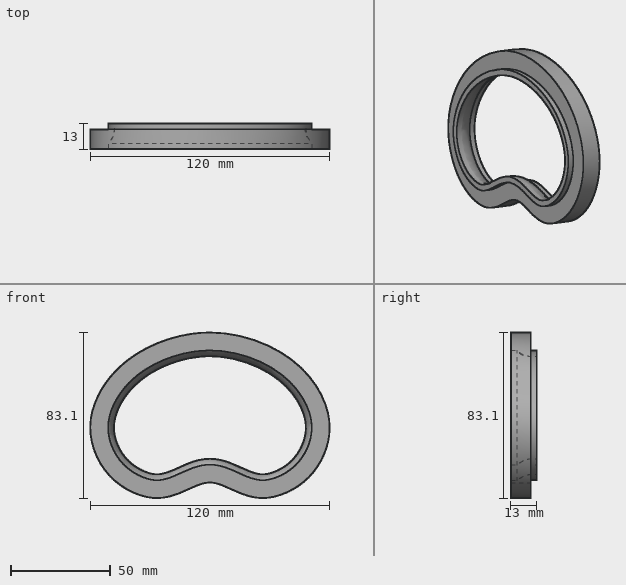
import cadquery as cq

half_width = 60.0
top_height = 47.3
lobe_depth = 35.8
lobe_offset = 26.4
dent_depth = 28.0

flange_thickness = 10.0
lip_height = 3.0
lip_wall = 3.0
mouth_depth = 3.0
rim_width = 9.0

throat_inset = rim_width + lip_wall
total_depth = flange_thickness + lip_height

right_half = [
    (31.8, 39.4),
    (51.4, 23.2),
    (half_width, 0),
    (51.4, -23.3),
    (38.3, -33.0),
    (lobe_offset, -lobe_depth),
    (12.2, -32.0),
]


def kidney_path():
    """Closed smooth outer outline, symmetric about X = 0."""
    left_half = [(-x, z) for x, z in reversed(right_half)]
    outline = [(0, top_height)] + right_half + [(0, -dent_depth)] + left_half
    points = [cq.Vector(x, 0, z) for x, z in outline]
    outer_edge = cq.Edge.makeSpline(points, periodic=True)
    return cq.Wire.assembleEdges([outer_edge])


def ring_section():
    """Wall section at the crown, in the YZ plane, with the arc tangent to the throat."""
    rim_level = top_height - rim_width
    throat_level = top_height - throat_inset
    return (
        cq.Workplane("YZ")
        .moveTo(0, top_height)
        .lineTo(flange_thickness, top_height)
        .lineTo(flange_thickness, rim_level)
        .lineTo(total_depth, rim_level)
        .lineTo(total_depth, throat_level)
        .lineTo(flange_thickness, throat_level)
        .tangentArcPoint((mouth_depth, rim_level), relative=False)
        .lineTo(0, rim_level)
        .close()
    )


result = ring_section().sweep(kidney_path())